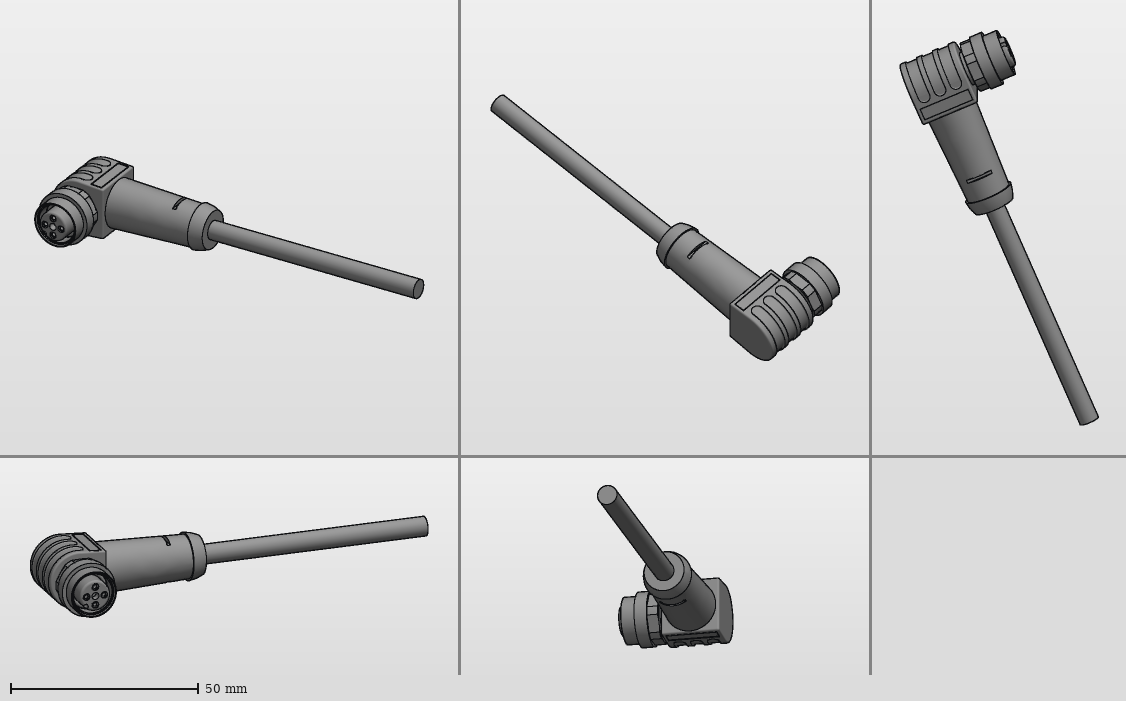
import cadquery as cq
import math

TOTAL_LENGTH = 109.7

HEAD_RADIUS = 8.0
HEAD_HALF_DEPTH = 8.0
HEAD_END_X = 8.0
HEAD_TAPER = math.radians(4)
HEAD_EDGE_FILLET = 0.5
THROUGH_HEIGHT = 4 * HEAD_RADIUS

GRIP_COUNT = 3
GRIP_PITCH = 4.6
GRIP_WIDTH = 3.2
GRIP_END_X = 2.4
GRIP_DEPTH = 0.38
GRIP_FLOOR_FILLET = 0.27

PANEL_START_X = 3.6
PANEL_END_X = 6.8
PANEL_WIDTH = 13.9
PANEL_DEPTH = 0.2

BUSHING_START_RADIUS = 7.0
BUSHING_END_RADIUS = 6.0
COLLAR_START_X = 33.5
COLLAR_END_X = 37.4
COLLAR_START_RADIUS = 6.6
COLLAR_MID_RADIUS = 6.3
COLLAR_END_RADIUS = 5.5
CABLE_DIAMETER = 5.4
NOTCH_START_X = 27.0
NOTCH_WIDTH = 0.9
NOTCH_FLOOR_Z = 5.2

NECK_DIAMETER = 9.3
HEX_START = 9.1
RING_START = 12.2
SLEEVE_START = 15.6
SLEEVE_END = 19.5
INSERT_END = 20.7
HEX_ACROSS_FLATS = 13.2
HEX_CORNER_RADIUS = 7.0
HEX_CHAMFER_LENGTH = 0.16
HEX_CHAMFER_RISE = 0.4
RING_DIAMETER = 15.0
SLEEVE_DIAMETER = 12.8
BORE_DIAMETER = 11.0
BORE_MOUTH_DIAMETER = 12.3
BORE_LEAD_IN_DIAMETER = 11.6
BORE_LEAD_IN_DEPTH = 0.9
BORE_DEPTH = 4.4

INSERT_DIAMETER = 8.4
INSERT_FILLET = 0.7
SEAL_INNER_DIAMETER = 8.4
SEAL_THICKNESS = 1.1
CONTACT_COUNT = 4
CONTACT_CIRCLE_RADIUS = 2.5
CONTACT_DIAMETER = 1.1
CONTACT_MOUTH_DIAMETER = 1.9
CONTACT_MOUTH_DEPTH = 0.5
CENTRE_HOLE_DIAMETER = 2.0
HOLE_DEPTH = 2.2
KEY_DIAMETER = 1.3
KEY_CIRCLE_RADIUS = 3.8
KEY_ANGLE = math.radians(225)
KEY_DEPTH = 3.3


def socket_plane(distance):
    """Plane facing -Y at a distance along -Y; its local axes are X and Z."""
    return cq.Workplane("XZ", origin=(0, -distance, 0))


def socket_cylinder(start, end, diameter):
    return socket_plane(start).circle(diameter / 2).extrude(end - start)


def head_profile(inset):
    """Head outline in XZ, extruded over the full head depth."""
    radius = HEAD_RADIUS - inset
    tangent_x = radius * math.sin(HEAD_TAPER)
    tangent_z = radius * math.cos(HEAD_TAPER)
    end_z = tangent_z - (HEAD_END_X - tangent_x) * math.tan(HEAD_TAPER)
    return (
        socket_plane(-HEAD_HALF_DEPTH)
        .moveTo(HEAD_END_X, -end_z)
        .lineTo(HEAD_END_X, end_z)
        .lineTo(tangent_x, tangent_z)
        .threePointArc((-radius, 0), (tangent_x, -tangent_z))
        .close()
        .extrude(2 * HEAD_HALF_DEPTH)
    )


def grip_cutter(y, core):
    """Round-ended slot prism with the head core removed, so only a skin is cut."""
    half_width = GRIP_WIDTH / 2
    arc_x = GRIP_END_X - half_width
    back_x = -2 * HEAD_RADIUS
    prism = (
        cq.Workplane("XY", origin=(0, y, -THROUGH_HEIGHT / 2))
        .moveTo(back_x, -half_width)
        .lineTo(arc_x, -half_width)
        .threePointArc((GRIP_END_X, 0), (arc_x, half_width))
        .lineTo(back_x, half_width)
        .close()
        .extrude(THROUGH_HEIGHT)
    )
    reach = HEAD_RADIUS + GRIP_FLOOR_FILLET
    floor_edges = cq.selectors.BoxSelector(
        (-reach, y - GRIP_WIDTH, -reach), (reach, y + GRIP_WIDTH, reach)
    )
    return prism.cut(core).edges(floor_edges).fillet(GRIP_FLOOR_FILLET)


def make_head():
    head = head_profile(0).faces("<Y or >Y or >X").edges().fillet(HEAD_EDGE_FILLET)
    grip_core = head_profile(GRIP_DEPTH)
    for index in range(GRIP_COUNT):
        y = (index - (GRIP_COUNT - 1) / 2) * GRIP_PITCH
        head = head.cut(grip_cutter(y, grip_core))
    panel_length = PANEL_END_X - PANEL_START_X
    panel = (
        cq.Workplane("XY")
        .box(panel_length, PANEL_WIDTH, THROUGH_HEIGHT)
        .translate((PANEL_START_X + panel_length / 2, 0, 0))
    )
    return head.cut(panel.cut(head_profile(PANEL_DEPTH)))


def make_cable_side():
    """Bushing, collar and cable as one revolved body with two cross notches."""
    cable_radius = CABLE_DIAMETER / 2
    cable_end_x = TOTAL_LENGTH - HEAD_RADIUS
    collar_mid_x = (COLLAR_START_X + COLLAR_END_X) / 2
    body = (
        cq.Workplane("XY")
        .lineTo(0, BUSHING_START_RADIUS)
        .lineTo(HEAD_END_X, BUSHING_START_RADIUS)
        .lineTo(COLLAR_START_X, BUSHING_END_RADIUS)
        .lineTo(COLLAR_START_X, COLLAR_START_RADIUS)
        .threePointArc((collar_mid_x, COLLAR_MID_RADIUS), (COLLAR_END_X, COLLAR_END_RADIUS))
        .lineTo(COLLAR_END_X, cable_radius)
        .lineTo(cable_end_x, cable_radius)
        .lineTo(cable_end_x, 0)
        .close()
        .revolve(360, (0, 0, 0), (1, 0, 0))
    )
    notch = cq.Workplane("XY").box(
        NOTCH_WIDTH, 2 * BUSHING_START_RADIUS, BUSHING_START_RADIUS, centered=(False, True, False)
    )
    body = body.cut(notch.translate((NOTCH_START_X, 0, NOTCH_FLOOR_Z)))
    return body.cut(notch.translate((NOTCH_START_X, 0, -NOTCH_FLOOR_Z - BUSHING_START_RADIUS)))


def make_coupling_nut():
    hex_length = RING_START - HEX_START
    corner_to_corner = HEX_ACROSS_FLATS / math.cos(math.radians(30))
    hexagon = socket_plane(HEX_START).polygon(6, corner_to_corner).extrude(hex_length)
    rounding = socket_cylinder(HEX_START, RING_START, 2 * HEX_CORNER_RADIUS)
    rounding = rounding.faces(">Y").chamfer(HEX_CHAMFER_LENGTH, HEX_CHAMFER_RISE)
    nut = hexagon.intersect(rounding)
    nut = nut.union(socket_cylinder(RING_START, SLEEVE_START, RING_DIAMETER))
    sleeve = socket_cylinder(SLEEVE_START, SLEEVE_END, SLEEVE_DIAMETER)
    bore = socket_cylinder(SLEEVE_END - BORE_DEPTH, SLEEVE_END, BORE_DIAMETER)
    lead_in = socket_cylinder(SLEEVE_END - BORE_LEAD_IN_DEPTH, SLEEVE_END, BORE_LEAD_IN_DIAMETER)
    nut = nut.union(sleeve).cut(bore).cut(lead_in)
    mouth_chamfer = (BORE_MOUTH_DIAMETER - BORE_LEAD_IN_DIAMETER) / 2
    mouth_edge = cq.selectors.RadiusNthSelector(0)
    return nut.faces("<Y").edges(mouth_edge).chamfer(mouth_chamfer)


def insert_hole(depth, diameter):
    return socket_cylinder(INSERT_END - depth, INSERT_END, diameter)


def make_insert():
    insert = socket_cylinder(RING_START, INSERT_END, INSERT_DIAMETER)
    insert = insert.faces("<Y").fillet(INSERT_FILLET)
    insert = insert.cut(insert_hole(HOLE_DEPTH, CENTRE_HOLE_DIAMETER))
    contact = insert_hole(HOLE_DEPTH, CONTACT_DIAMETER)
    contact = contact.union(insert_hole(CONTACT_MOUTH_DEPTH, CONTACT_MOUTH_DIAMETER))
    for index in range(CONTACT_COUNT):
        angle = 2 * math.pi * index / CONTACT_COUNT
        x = CONTACT_CIRCLE_RADIUS * math.cos(angle)
        z = CONTACT_CIRCLE_RADIUS * math.sin(angle)
        insert = insert.cut(contact.translate((x, 0, z)))
    key_x = KEY_CIRCLE_RADIUS * math.cos(KEY_ANGLE)
    key_z = KEY_CIRCLE_RADIUS * math.sin(KEY_ANGLE)
    key = insert_hole(KEY_DEPTH, KEY_DIAMETER)
    return insert.cut(key.translate((key_x, 0, key_z)))


def make_seal():
    """O-ring around the insert, half sunk into the bore floor."""
    centre_radius = (SEAL_INNER_DIAMETER + SEAL_THICKNESS) / 2
    floor_y = BORE_DEPTH - SLEEVE_END
    return (
        cq.Workplane("XY", origin=(0, floor_y, 0))
        .center(centre_radius, 0)
        .circle(SEAL_THICKNESS / 2)
        .revolve(360, (-centre_radius, 0, 0), (-centre_radius, 1, 0))
    )


neck = socket_cylinder(0, RING_START, NECK_DIAMETER)
result = make_head().union(make_cable_side()).union(neck)
result = result.union(make_coupling_nut()).union(make_seal()).union(make_insert())